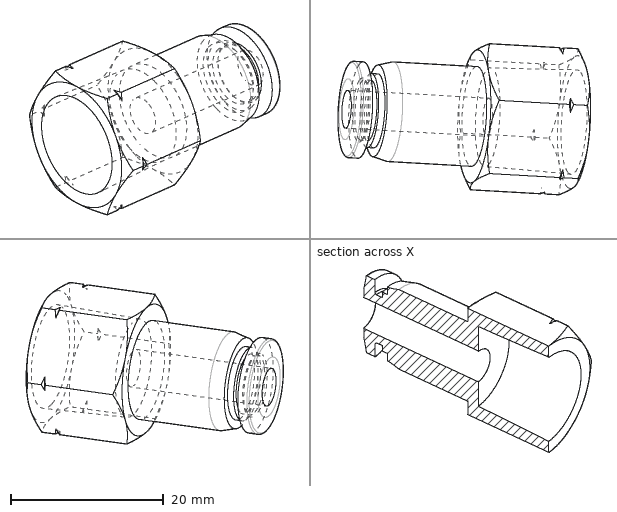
import cadquery as cq
import math

total_length = 30.8

across_flats = 17.45
hex_length = 13.52
hex_chamfer_angle = math.radians(30)
corner_radius = across_flats / math.sqrt(3)

groove_position = 2.95
groove_depth = 0.5
groove_half_width = 0.3

body_radius = 6.55
body_end = 24.9
shoulder_radius = 6.05
shoulder_end = 26.85

collar_radius = 4.87
collar_end = 27.72
neck_radius = 3.97
neck_flare = 0.25
flange_radius = 6.35
flange_start = 28.9
flange_edge = 30.37
flange_edge_round = 0.25
flange_face_radius = 4.0

socket_mouth_radius = 6.87
socket_taper = 1 / 16
socket_depth = 11.7
socket_bottom_radius = socket_mouth_radius - socket_depth * socket_taper / 2
hole_radius = 2.5


def revolve_profile(points):
    """Turn a closed (radius, Y) outline about the Y axis."""
    return cq.Workplane("XY").polyline(points).close().revolve(360, (0, 0, 0), (0, 1, 0))


def make_nut():
    """Hexagon with corners on the X axis, both ends chamfered, corners nicked by a groove."""
    hexagon = (
        cq.Workplane("XZ")
        .polygon(6, 2 * corner_radius)
        .extrude(-hex_length)
    )
    chamfer_radius = across_flats / 2
    chamfer_height = (corner_radius - chamfer_radius) * math.tan(hex_chamfer_angle)
    envelope = revolve_profile([
        (0, 0),
        (chamfer_radius, 0),
        (corner_radius, chamfer_height),
        (corner_radius, groove_position - groove_half_width),
        (corner_radius - groove_depth, groove_position),
        (corner_radius, groove_position + groove_half_width),
        (corner_radius, hex_length - chamfer_height),
        (chamfer_radius, hex_length),
        (0, hex_length),
    ])
    return hexagon.intersect(envelope)


def make_body():
    """Cylinder with a tapered shoulder, starting inside the nut."""
    return revolve_profile([
        (0, socket_depth),
        (body_radius, socket_depth),
        (body_radius, body_end),
        (shoulder_radius, shoulder_end),
        (0, shoulder_end),
    ])


def make_sleeve():
    """Stepped sleeve ending in a flange with a shallow conical face and a rounded edge."""
    sleeve = revolve_profile([
        (0, body_end),
        (collar_radius, body_end),
        (collar_radius, collar_end),
        (neck_radius, collar_end),
        (neck_radius, flange_start - neck_flare),
        (neck_radius + neck_flare, flange_start),
        (flange_radius, flange_start),
        (flange_radius, flange_edge),
        (flange_face_radius, total_length),
        (0, total_length),
    ])
    outer_edge = cq.selectors.BoxSelector(
        (-flange_radius, flange_edge - flange_edge_round, -flange_radius),
        (flange_radius, flange_edge + flange_edge_round, flange_radius),
        boundingbox=False,
    )
    return sleeve.edges("%CIRCLE").edges(outer_edge).fillet(flange_edge_round)


def make_bore():
    """Tapered socket followed by a hole through the whole part."""
    return revolve_profile([
        (0, 0),
        (socket_mouth_radius, 0),
        (socket_bottom_radius, socket_depth),
        (hole_radius, socket_depth),
        (hole_radius, total_length),
        (0, total_length),
    ])


result = make_nut().union(make_body()).union(make_sleeve()).cut(make_bore())